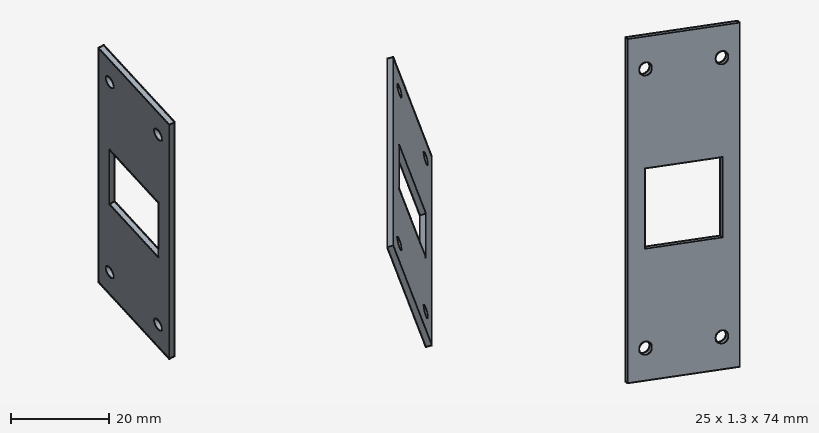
import cadquery as cq

plate_width = 25.0
plate_thickness = 1.3
plate_height = 74.0

window_side = 17.25

hole_diameter = 2.8
hole_spacing_x = 17.0
hole_spacing_z = 60.0

plate = cq.Workplane("XY").box(plate_width, plate_thickness, plate_height)

with_window = plate.faces("<Y").workplane().rect(window_side, window_side).cutThruAll()

result = (
    with_window.faces("<Y").workplane()
    .rect(hole_spacing_x, hole_spacing_z, forConstruction=True)
    .vertices()
    .hole(hole_diameter)
)